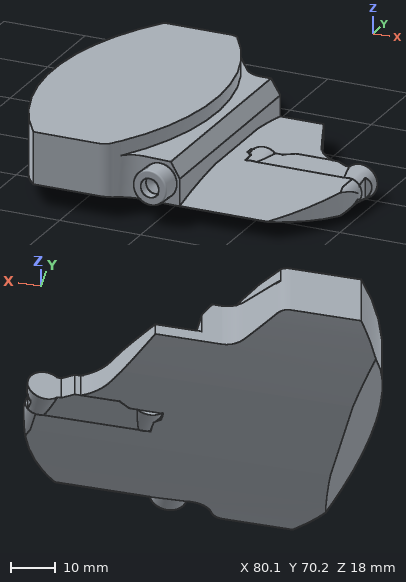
import cadquery as cq
import math


head_radius = 60.0
head_width = 40.37
head_half_length = 35.0
head_corner = head_radius - math.sqrt(head_radius**2 - head_half_length**2)
nose_wall = 9.3
nose_run = 7.9
neck_top = -3.55
neck_end = 45.3
neck_back = 23.4
neck_front = -30.0
neck_tilt = 3.5
neck_bevel_width = 2.3
neck_bevel_height = 3.7
head_fillet = 3.4
neck_fillet = 5.9
back_head_corner = 29.3
back_neck_corner = 37.7
front_head_corner = 29.55
front_neck_corner = 31.9

blade_middle = -13.89
blade_half_thickness = 3.08
blade_flat = 11.5
blade_lens_radius = 133.0
blade_front = -30.35
blade_root = 1.0
blade_back_corner = 56.0
blade_arc_radius = 42.0
blade_arc_center = 37.95
throat_start = (62.7, 7.7)
throat_end_x = 68.3

insert_middle = 64.5
insert_half_length = 15.6
insert_height = 6.4
insert_half_thickness = 3.03
hump_height = 1.75
hump_top_half = 5.15
hump_base_half = 7.8
relief_inset = 1.5
relief_start = 2.0
relief_end = 3.3
lobe_centers = (52.1, 75.98)
lobe_radius = 4.12
lobe_base_radius = 3.2
blade_end_radius = lobe_base_radius

screw_x = 40.3
screw_z = -8.67
screw_diameter = 8.5
screw_length = 4.96
screw_root = 2.0
screw_rounding = 0.4
socket_diameter = 4.6
socket_depth = 2.5
socket_cone_depth = 1.0

tall = 100.0
long = 200.0
lens_reach = 50.0


def neck_front_y(x):
    """Y of the slightly tilted front face of the neck."""
    return neck_front - (x - screw_x) * math.tan(math.radians(neck_tilt))


def lens_point(y, side):
    """Point of the lens section in the YZ plane, above (side 1) or below (side -1)."""
    drop = math.sqrt(blade_lens_radius**2 - blade_flat**2) - math.sqrt(blade_lens_radius**2 - y**2)
    return (y, blade_middle + side * (blade_half_thickness - drop))


def lens_half(side):
    """Everything on the inner side of one face of the lens, along the whole part."""
    between = (lens_reach + blade_flat) / 2
    far_z = -side * tall
    return (
        cq.Workplane("YZ")
        .moveTo(-lens_reach, far_z)
        .lineTo(*lens_point(-lens_reach, side))
        .threePointArc(lens_point(-between, side), lens_point(-blade_flat, side))
        .lineTo(*lens_point(blade_flat, side))
        .threePointArc(lens_point(between, side), lens_point(lens_reach, side))
        .lineTo(lens_reach, far_z)
        .close()
        .extrude(long)
    )


def build_head():
    """Oval head with the neck, standing on the curved underside of the lens."""
    plan = (
        cq.Workplane("XY")
        .moveTo(head_corner, head_half_length)
        .lineTo(back_head_corner, head_half_length)
        .lineTo(back_neck_corner, neck_back)
        .lineTo(neck_end, neck_back)
        .lineTo(neck_end, neck_front_y(neck_end))
        .lineTo(front_neck_corner, neck_front_y(front_neck_corner))
        .lineTo(front_head_corner, -head_half_length)
        .lineTo(head_corner, -head_half_length)
        .threePointArc((0, 0), (head_corner, head_half_length))
        .close()
        .extrude(-tall)
    )
    fillets = (
        (back_head_corner, head_half_length, head_fillet),
        (back_neck_corner, neck_back, neck_fillet),
        (front_head_corner, -head_half_length, head_fillet),
        (front_neck_corner, neck_front_y(front_neck_corner), neck_fillet),
    )
    for x, y, radius in fillets:
        corner = cq.selectors.NearestToPointSelector((x, y, -tall / 2))
        plan = plan.edges("|Z").edges(corner).fillet(radius)

    above_neck = cq.Workplane("XY").box(long, long, -neck_top, centered=(False, True, False))
    above_neck = above_neck.translate((head_width / 2, 0, neck_top))
    round_back = cq.Workplane("XY").center(head_width - head_radius, 0).circle(head_radius).extrude(neck_top)
    head = plan.cut(above_neck.cut(round_back))

    nose_slope = (blade_half_thickness - blade_middle - nose_wall) / nose_run
    nose_bevel = (
        cq.Workplane("XZ")
        .moveTo(0, -nose_wall)
        .lineTo(tall / nose_slope, -nose_wall - tall)
        .lineTo(0, -nose_wall - tall)
        .close()
        .extrude(long / 2, both=True)
    )
    neck_bevel = (
        cq.Workplane("XZ")
        .moveTo(neck_end, neck_top)
        .lineTo(neck_end - neck_bevel_width, neck_top)
        .lineTo(neck_end, neck_top - neck_bevel_height)
        .close()
        .extrude(long / 2, both=True)
    )
    return head.cut(nose_bevel).cut(neck_bevel).intersect(lens_half(-1))


def build_blade():
    """Thin blade of lens section with a rounded working end."""

    def arc_x(y):
        return blade_arc_center + math.sqrt(blade_arc_radius**2 - y**2)

    throat_slope = (throat_start[0] - blade_back_corner, throat_start[1] - neck_back)
    throat = cq.Edge.makeTangentArc(
        cq.Vector(*throat_start), cq.Vector(*throat_slope), cq.Vector(throat_end_x, hump_height)
    )
    throat_middle = throat.positionAt(0.5)
    arc_middle_y = (blade_front - insert_height) / 2
    plan = (
        cq.Workplane("XY")
        .moveTo(neck_end - blade_root, neck_back)
        .lineTo(blade_back_corner, neck_back)
        .lineTo(*throat_start)
        .threePointArc((throat_middle.x, throat_middle.y), (throat_end_x, hump_height))
        .lineTo(throat_end_x, -insert_height)
        .lineTo(arc_x(-insert_height), -insert_height)
        .threePointArc((arc_x(arc_middle_y), arc_middle_y), (arc_x(blade_front), blade_front))
        .lineTo(neck_end, blade_front)
        .lineTo(neck_end, neck_front)
        .lineTo(neck_end - blade_root, neck_front)
        .close()
        .extrude(-tall)
    )
    end_x = lobe_centers[1]
    round_end = (
        cq.Workplane("XZ")
        .center(end_x, blade_middle)
        .circle(blade_end_radius)
        .extrude(tall, both=True)
    )
    before_end = cq.Workplane("XY").box(end_x, long, long, centered=(False, True, True))
    return plan.intersect(lens_half(1)).intersect(lens_half(-1)).intersect(before_end.union(round_end))


def build_screw():
    """Tilted clamp screw head with a cone-bottomed socket, rooted in the neck."""
    screw = (
        cq.Workplane("XY")
        .circle(screw_diameter / 2)
        .extrude(screw_root + screw_length)
        .faces(">Z")
        .fillet(screw_rounding)
    )
    socket_radius = socket_diameter / 2
    socket = (
        cq.Workplane("XZ")
        .lineTo(socket_radius, 0)
        .lineTo(socket_radius, -socket_depth)
        .lineTo(0, -socket_depth - socket_cone_depth)
        .close()
        .revolve(360, (0, 0), (0, 1))
    )
    screw = screw.cut(socket.translate((0, 0, screw_root + screw_length)))
    screw = screw.translate((0, 0, -screw_root))
    screw = screw.rotate((0, 0, 0), (1, 0, 0), 90).rotate((0, 0, 0), (0, 0, 1), -neck_tilt)
    return screw.translate((screw_x, neck_front, screw_z))


def insert_prism(half_thickness):
    """Insert outline extruded both ways from the middle plane of the blade."""
    half_outline = [
        (hump_top_half, hump_height),
        (hump_base_half, 0),
        (insert_half_length, 0),
        (insert_half_length, -relief_start),
        (insert_half_length - relief_inset, -relief_end),
        (insert_half_length - relief_inset, -insert_height),
    ]
    outline = half_outline + [(-x, y) for x, y in reversed(half_outline)]
    return (
        cq.Workplane("XY", origin=(insert_middle, 0, blade_middle))
        .polyline(outline)
        .close()
        .extrude(half_thickness, both=True)
    )


def build_insert():
    """Insert: a flat bar with a cone-shaped cutting lobe near each end."""
    bar = insert_prism(insert_half_thickness)
    first_lobe_x, last_lobe_x = lobe_centers
    bar_limits = cq.Workplane("XY").box(last_lobe_x - first_lobe_x, long, long)
    bar = bar.intersect(bar_limits.translate(((first_lobe_x + last_lobe_x) / 2, 0, 0)))
    for x in lobe_centers:
        lobe = (
            cq.Workplane("XZ", origin=(x, 0, blade_middle))
            .circle(lobe_radius)
            .workplane(offset=insert_height)
            .circle(lobe_base_radius)
            .loft()
        )
        bar = bar.union(lobe.intersect(insert_prism(tall / 2)))
    return bar


holder = build_head().union(build_blade()).union(build_screw()).cut(insert_prism(tall / 2))
insert = build_insert()

result = cq.Compound.makeCompound([holder.val(), insert.val()])